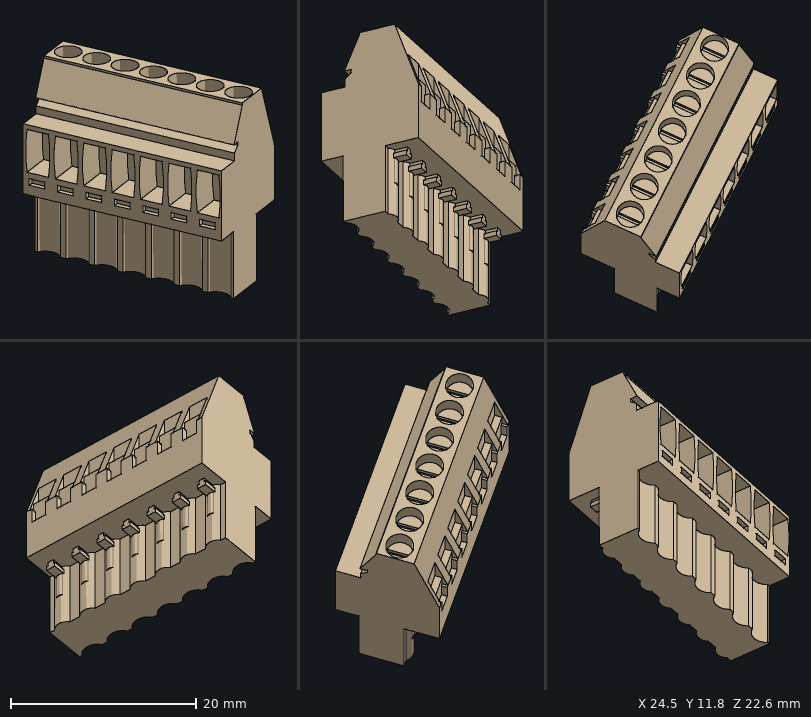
import cadquery as cq
import math


length = 24.5
pole_count = 7
pitch = 3.5
first_pole_x = length / 2 - pitch * (pole_count - 1) / 2
clamp_offset = 0.1
pole_centres = [first_pole_x + i * pitch for i in range(pole_count)]
clamp_centres = [x + clamp_offset for x in pole_centres]

depth = 11.83
height = 22.6
shoulder_z = 8.0
shelf_z = 16.4
plug_front_y = 2.7
plug_back_y = 7.82
step_y = 2.9
bevel_bottom_z = 17.32
bevel_top_z = 17.95
lip_z = 18.33
undercut_y = 3.65
lip_y = 2.8
top_front_y = 4.63
top_back_y = 8.95
top_edge_height = 0.27
back_slope_z = 14.63

groove_width = 2.82
groove_radius = 1.67

rib_radius = 1.37
rib_projection = 0.51
crest_radius = 0.74
crest_projection = 0.07
crest_bottom_z = 4.0

tab_back_y = 9.78
tab_bottom_z = 6.98
tab_step_z = 7.55
tab_foot_width = 1.13
tab_neck_width = 0.74

pocket_end_width = 2.65
pocket_mid_width = 3.0
pocket_bottom_z = 10.7
pocket_top_z = 15.83
pocket_depth = 3.68

slot_width = 1.9
slot_bottom_z = 9.2
slot_top_z = 10.0
slot_depth = 0.6

notch_width = 2.45
notch_front_y = 10.35
notch_step_y = 11.17
notch_ledge_z = 15.92
notch_neck_width = 1.9
notch_neck_z = 12.75

screw_diameter = 3.0
screw_y = 6.79
screw_top_z = 20.78
screw_length = 4.9
driver_slot_width = 0.42
driver_slot_depth = 0.5


def block(centre_x, width, y_range, z_range):
    """Box centred on centre_x that spans the given Y and Z ranges."""
    y_min, y_max = y_range
    z_min, z_max = z_range
    box = cq.Workplane("XY").box(width, y_max - y_min, z_max - z_min, centered=(True, False, False))
    return box.translate((centre_x, y_min, z_min))


def upright_cylinder(centre_x, centre_y, radius, z_min, z_max):
    """Vertical cylinder between two heights."""
    circle = cq.Workplane("XY", origin=(centre_x, centre_y, z_min)).circle(radius)
    return circle.extrude(z_max - z_min)


def housing_blank():
    """Stepped side profile extruded along the row."""
    profile = [
        (plug_front_y, 0),
        (plug_back_y, 0),
        (plug_back_y, shoulder_z),
        (depth, shoulder_z),
        (depth, back_slope_z),
        (top_back_y, height),
        (top_front_y, height),
        (top_front_y, height - top_edge_height),
        (lip_y, lip_z),
        (undercut_y, lip_z),
        (undercut_y, bevel_top_z),
        (step_y, bevel_bottom_z),
        (step_y, shelf_z),
        (0, shelf_z),
        (0, shoulder_z),
        (plug_front_y, shoulder_z),
    ]
    return cq.Workplane("YZ").polyline(profile).close().extrude(length)


def plug_groove(x):
    """Round groove in the front of the plug, below the shoulder."""
    axis_inset = math.sqrt(groove_radius**2 - (groove_width / 2) ** 2)
    return upright_cylinder(x, plug_front_y - axis_inset, groove_radius, 0, shoulder_z)


def plug_rib(x):
    """Round rib on the back of the plug with a narrower crest on its upper part."""
    apex_y = plug_back_y + rib_projection
    rib = upright_cylinder(x, apex_y - rib_radius, rib_radius, 0, shoulder_z)
    crest_y = apex_y + crest_projection - crest_radius
    crest = upright_cylinder(x, crest_y, crest_radius, crest_bottom_z, shoulder_z)
    return rib.union(crest)


def coding_tab(x):
    """Tab under the back shoulder: a narrow neck above a wider foot."""
    y_range = (plug_back_y, tab_back_y)
    neck = block(x, tab_neck_width, y_range, (tab_step_z, shoulder_z))
    foot = block(x, tab_foot_width, y_range, (tab_bottom_z, tab_step_z))
    return neck.union(foot)


def wire_pocket(x):
    """Blind pocket from the front with flat top and bottom and bowed sides."""
    half_end = pocket_end_width / 2
    half_mid = pocket_mid_width / 2
    mid_z = (pocket_bottom_z + pocket_top_z) / 2
    outline = (
        cq.Workplane("XZ", origin=(x, 0, 0))
        .moveTo(-half_end, pocket_bottom_z)
        .lineTo(half_end, pocket_bottom_z)
        .threePointArc((half_mid, mid_z), (half_end, pocket_top_z))
        .lineTo(-half_end, pocket_top_z)
        .threePointArc((-half_mid, mid_z), (-half_end, pocket_bottom_z))
        .close()
    )
    return outline.extrude(-pocket_depth)


def test_slot(x):
    """Small rectangular slot below a wire pocket."""
    return block(x, slot_width, (0, slot_depth), (slot_bottom_z, slot_top_z))


def back_notch(x):
    """Notch in the back slope that drops from a ledge to a lower step with a narrow neck."""
    ledge = block(x, notch_width, (notch_front_y, depth), (notch_ledge_z, height))
    step = block(x, notch_width, (notch_step_y, depth), (back_slope_z, height))
    neck = block(x, notch_neck_width, (notch_step_y, depth), (notch_neck_z, height))
    return ledge.union(step).union(neck)


def screw_hole(x):
    """Blind hole from the top; the screw fills its lower part."""
    return upright_cylinder(x, screw_y, screw_diameter / 2, screw_top_z - screw_length, height)


def make_housing():
    """Housing with one set of features for each pole."""
    body = housing_blank()
    for x in pole_centres:
        body = body.union(plug_rib(x)).union(coding_tab(x))
        body = body.cut(plug_groove(x)).cut(test_slot(x)).cut(back_notch(x))
    for x in clamp_centres:
        body = body.cut(wire_pocket(x)).cut(screw_hole(x))
    return body


def make_screw(x):
    """Headless screw with a driver slot across its top."""
    radius = screw_diameter / 2
    shank = upright_cylinder(x, screw_y, radius, screw_top_z - screw_length, screw_top_z)
    driver_slot = block(
        x,
        driver_slot_width,
        (screw_y - radius, screw_y + radius),
        (screw_top_z - driver_slot_depth, screw_top_z),
    )
    return shank.cut(driver_slot)


housing = make_housing()
screws = [make_screw(x) for x in clamp_centres]

result = cq.Compound.makeCompound([housing.solids().val(), *[screw.solids().val() for screw in screws]])